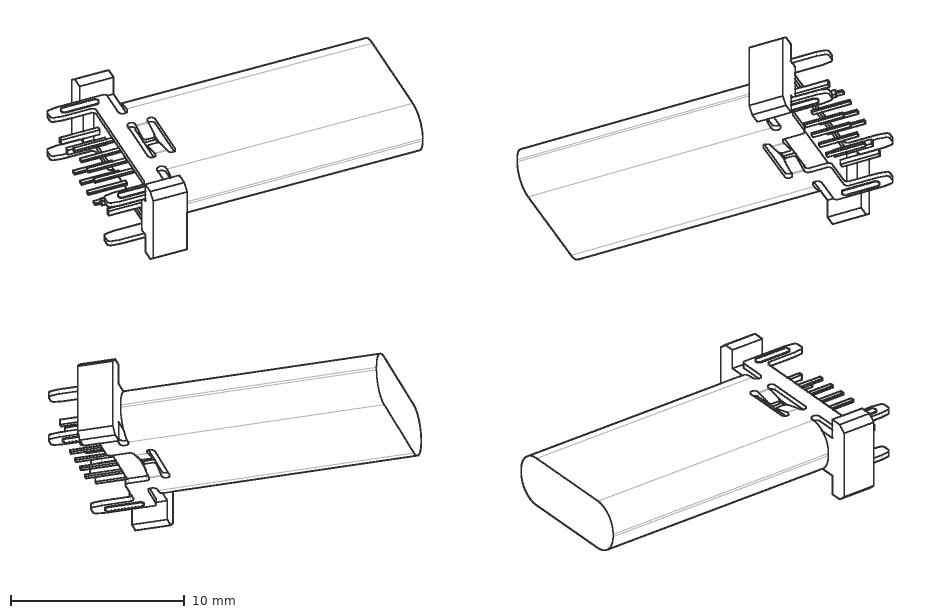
import cadquery as cq
import math

TOP = 1
BOTTOM = -1
SIDES = (-1, 1)

shell_width = 8.95
shell_height = 3.15
shell_length = 15.37
shell_corner_radius = 1.5
sheet_thickness = 0.32
outer_z = shell_height / 2
inner_z = outer_z - sheet_thickness

housing_width = 12.0
housing_height = 5.0
housing_depth = 2.13
housing_inner_x = 4.85
end_chamfer_x = 0.43
end_chamfer_z = 0.37
recess_half_width = 4.3
recess_depth = 0.65

tail_half_width = 4.67
tail_rear_y = -1.64
shoulder_y = -0.55
shoulder_radius = 0.2
leg_width = 0.9
leg_tip_y = -4.33
leg_taper_length = 0.69
leg_taper = 0.1
leg_tip_radius = 0.22
leg_root_radius = 0.25
neck_half_width = 2.62
leg_x = tail_half_width - leg_width / 2

rib_width = 0.45
rib_front_y = -1.2
rib_rear_y = -3.57
rib_height = 0.05

slot_length = 3.4
slot_width = 0.47
front_slot_y = 0.93
rear_slot_y = -0.32
finger_front_y = front_slot_y - slot_width / 2
finger_rear_y = rear_slot_y + slot_width / 2
finger_bend_start_x = 1.42
finger_bend_end_x = 1.34
finger_bend_drop = 0.02
finger_tip_x = 0.25
finger_drop = 0.28
finger_corner_radius = 0.18
pocket_depth = 0.47
pocket_rear_gap = 0.04
pocket_floor_z = outer_z - pocket_depth
notch_corner_radius = 0.24

pin_pitch = 1.0
pin_width = 0.25
pin_tip_y = -3.9
outer_pin_thickness = 0.14
middle_pin_thickness = 0.33
pin_rim = 0.04
dimple_taper = 45
dimple_fullness = 0.9
pin_row_z = 0.83
outer_row_columns = (0.5, 1.5)
middle_row_columns = (2.5, 3.5)


def block(x_min, x_max, y_min, y_max, z_min, z_max):
    """Axis-aligned box given by its limits."""
    size = (x_max - x_min, y_max - y_min, z_max - z_min)
    return cq.Workplane("XY").box(*size, centered=False).translate((x_min, y_min, z_min))


def on_face(body, face):
    """Place a body modelled on the top face onto the top or the bottom face."""
    return body if face == TOP else body.mirror("XY")


def make_shell():
    return (
        block(-shell_width / 2, shell_width / 2, 0, shell_length, -outer_z, outer_z)
        .edges("|Y")
        .fillet(shell_corner_radius)
    )


def make_housing():
    half_width = housing_width / 2
    half_height = housing_height / 2
    housing = block(-half_width, half_width, -housing_depth, 0, -inner_z, inner_z)
    end_outline = [
        (housing_inner_x, -half_height),
        (half_width - end_chamfer_x, -half_height),
        (half_width, -half_height + end_chamfer_z),
        (half_width, half_height - end_chamfer_z),
        (half_width - end_chamfer_x, half_height),
        (housing_inner_x, half_height),
    ]
    end_block = cq.Workplane("XZ").polyline(end_outline).close().extrude(housing_depth)
    housing = housing.union(end_block).union(end_block.mirror("YZ"))
    recess = block(
        -recess_half_width, recess_half_width,
        -housing_depth, recess_depth - housing_depth,
        -inner_z, inner_z,
    )
    return housing.cut(recess)


def make_tail():
    """Flat tail on the top face: neck, shoulders and two tapered legs."""
    taper_y = leg_tip_y + leg_taper_length
    inner_x = tail_half_width - leg_width
    outline = [
        (-tail_half_width, shoulder_y),
        (tail_half_width, shoulder_y),
        (tail_half_width, taper_y),
        (tail_half_width - leg_taper, leg_tip_y),
        (leg_taper - tail_half_width, leg_tip_y),
        (-tail_half_width, taper_y),
    ]
    gap_outline = [
        (-inner_x, tail_rear_y),
        (inner_x, tail_rear_y),
        (inner_x, taper_y),
        (inner_x + leg_taper, leg_tip_y),
        (-inner_x - leg_taper, leg_tip_y),
        (-inner_x, taper_y),
    ]
    layer = cq.Workplane("XY", origin=(0, 0, inner_z))
    gap = layer.polyline(gap_outline).close().extrude(sheet_thickness)
    gap = gap.edges("|Z and >Y").fillet(leg_root_radius)
    tail = layer.polyline(outline).close().extrude(sheet_thickness).cut(gap)
    tail = tail.edges("|Z and <Y").fillet(leg_tip_radius)
    tail = tail.edges("|Z and >Y").fillet(shoulder_radius)

    side_slot_radius = -shoulder_y / 2
    slot_center_x = neck_half_width + side_slot_radius
    neck = block(-slot_center_x, slot_center_x, shoulder_y, 0, inner_z, outer_z)
    slot_ends = (
        layer.pushPoints([(side * slot_center_x, shoulder_y / 2) for side in SIDES])
        .circle(side_slot_radius)
        .extrude(sheet_thickness)
    )
    tail = tail.union(neck.cut(slot_ends))

    rib_length = rib_front_y - rib_rear_y
    rib_y = (rib_front_y + rib_rear_y) / 2
    ribs = (
        layer.pushPoints([(side * leg_x, rib_y) for side in SIDES])
        .slot2D(rib_length, rib_width, 90)
        .extrude(sheet_thickness + rib_height)
    )
    return tail.union(ribs)


def cut_rear_notch(tail):
    """Open the rear latch slot of a tail through to its rear edge."""
    notch_half_width = slot_length / 2
    notch = block(
        -notch_half_width, notch_half_width, tail_rear_y, rear_slot_y, inner_z, outer_z
    )
    tail = tail.cut(notch)
    for side in SIDES:
        corner = (side * notch_half_width, tail_rear_y, (inner_z + outer_z) / 2)
        tail = tail.edges(cq.selectors.NearestToPointSelector(corner)).fillet(notch_corner_radius)
    return tail


def make_latch_opening():
    """Two round-ended slots joined by a deeper pocket under the fingers."""
    slots = (
        cq.Workplane("XY", origin=(0, 0, inner_z))
        .pushPoints([(0, front_slot_y), (0, rear_slot_y)])
        .slot2D(slot_length, slot_width)
        .extrude(sheet_thickness)
    )
    pocket = block(
        -finger_bend_start_x, finger_bend_start_x,
        finger_rear_y - pocket_rear_gap, finger_front_y,
        pocket_floor_z, outer_z,
    )
    return slots.union(pocket)


def make_finger():
    """Finger on the +X side, sloping inwards to a tip with rounded corners."""
    profile = [
        (finger_bend_start_x, pocket_floor_z),
        (finger_bend_start_x, outer_z),
        (finger_bend_end_x, outer_z - finger_bend_drop),
        (finger_tip_x, outer_z - finger_drop),
        (finger_tip_x, pocket_floor_z),
    ]
    return (
        cq.Workplane("XZ", origin=(0, finger_front_y, 0))
        .polyline(profile)
        .close()
        .extrude(finger_front_y - finger_rear_y)
        .edges("|Z and <X")
        .fillet(finger_corner_radius)
    )


def make_pin(column, row_z, thickness):
    """Rectangular pin on the recess floor, with a pyramid-shaped dimple in its tip."""
    x = column * pin_pitch
    pin = block(
        x - pin_width / 2, x + pin_width / 2,
        pin_tip_y, recess_depth - housing_depth,
        row_z - thickness / 2, row_z + thickness / 2,
    )
    dimple_width = pin_width - 2 * pin_rim
    dimple_height = thickness - 2 * pin_rim
    full_depth = min(dimple_width, dimple_height) / 2 / math.tan(math.radians(dimple_taper))
    dimple = (
        cq.Workplane("XZ", origin=(x, pin_tip_y, row_z))
        .rect(dimple_width, dimple_height)
        .extrude(-dimple_fullness * full_depth, taper=dimple_taper)
    )
    return pin.cut(dimple)


plain_tail = make_tail()
notched_tail = cut_rear_notch(plain_tail)
result = make_shell().union(make_housing())
result = result.union(plain_tail).union(on_face(notched_tail, BOTTOM))

latch_opening = make_latch_opening()
finger = make_finger()
for face in (TOP, BOTTOM):
    result = result.cut(on_face(latch_opening, face))
    result = result.union(on_face(finger, face))
    result = result.union(on_face(finger.mirror("YZ"), face))

for side in SIDES:
    for column in outer_row_columns:
        for row_z in (-pin_row_z, pin_row_z):
            result = result.union(make_pin(side * column, row_z, outer_pin_thickness))
    for column in middle_row_columns:
        result = result.union(make_pin(side * column, 0, middle_pin_thickness))